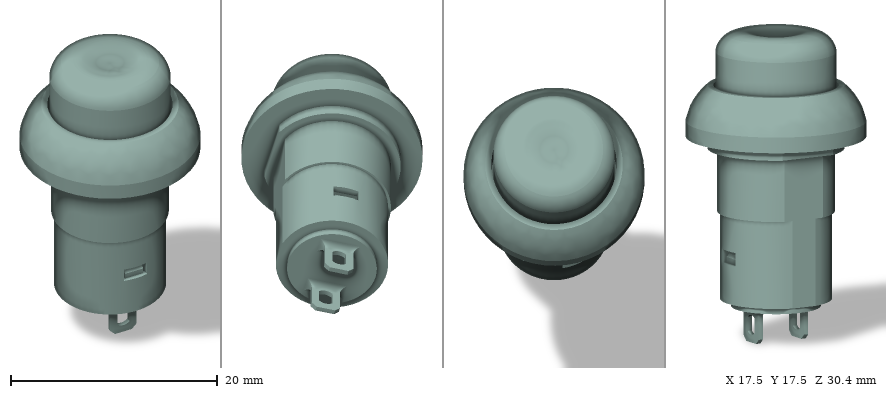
import cadquery as cq

TOTAL_HEIGHT = 30.35
BUTTON_CROWN_Z = 30.05
BUTTON_SHOULDER_Z = 28.4
BEZEL_TOP_Z = 25.1
BEZEL_RIM_TOP_Z = 21.6
BEZEL_BOTTOM_Z = 20.05
COLLAR_BOTTOM_Z = 18.9
UPPER_BODY_BOTTOM_Z = 12.7
LOWER_BODY_BOTTOM_Z = 4.07
BASE_BOTTOM_Z = 3.35

BUTTON_D = 11.75
BUTTON_CROWN_D = 9.5
TOP_RING_OUTER_D = 7.1
TOP_RING_INNER_D = 6.55
DISH_D = 5.45
BEZEL_D = 17.5
BEZEL_TOP_D = 13.3
BEZEL_BORE_D = 12.1
COLLAR_D = 13.3
UPPER_BODY_D = 11.4
LOWER_BODY_D = 10.87
BASE_D = 8.68

SHOULDER_MID_R = 5.5
SHOULDER_MID_Z = 29.38
BEZEL_MID_R = 8.05
BEZEL_MID_Z = 23.5
DISH_LIP_DROP = 0.05
DISH_DEPTH = 0.42

COLLAR_FLAT_Y = 6.0
BODY_FLAT_Y = 5.28

WINDOW_WIDTH = 2.52
WINDOW_TOP_Z = 9.25
WINDOW_BOTTOM_Z = 7.92
WINDOW_FLOOR_X = 4.67
CATCH_WIDTH = 1.97
CATCH_TOP_Z = 8.8
CATCH_RAMP_END_Z = 8.47
CATCH_FACE_X = 4.98

TERMINAL_X = 2.55
TERMINAL_THICKNESS = 0.5
TERMINAL_WIDTH = 2.82
TERMINAL_TIP_CHAMFER = 0.5
ROOT_FILLET = 0.55
EYE_D = 1.95
EYE_WIDTH = 1.35
EYE_Z = 1.73


def disc(diameter, bottom_z, top_z):
    height = top_z - bottom_z
    return cq.Workplane("XY").workplane(offset=bottom_z).circle(diameter / 2).extrude(height)


def centered_box(x_range, y_width, z_range):
    """Box spanning the X and Z ranges, centered on Y = 0."""
    return (
        cq.Workplane("XY")
        .box(x_range[1] - x_range[0], y_width, z_range[1] - z_range[0], centered=(False, True, False))
        .translate((x_range[0], 0, z_range[0]))
    )


def make_button():
    """Domed push button with a shallow spherical finger dish."""
    lip_z = TOTAL_HEIGHT - DISH_LIP_DROP
    profile = (
        cq.Workplane("XZ")
        .moveTo(0, BEZEL_BOTTOM_Z)
        .lineTo(BUTTON_D / 2, BEZEL_BOTTOM_Z)
        .lineTo(BUTTON_D / 2, BUTTON_SHOULDER_Z)
        .threePointArc((SHOULDER_MID_R, SHOULDER_MID_Z), (BUTTON_CROWN_D / 2, BUTTON_CROWN_Z))
    )
    crown_drop = TOTAL_HEIGHT - BUTTON_CROWN_Z
    crown_run = (BUTTON_CROWN_D - TOP_RING_OUTER_D) / 2
    crown_radius = (crown_run**2 + crown_drop**2) / (2 * crown_drop)
    lip_run = (TOP_RING_INNER_D - DISH_D) / 2
    lip_radius = (lip_run**2 + DISH_LIP_DROP**2) / (2 * DISH_LIP_DROP)
    dish_drop = DISH_DEPTH - DISH_LIP_DROP
    dish_radius = ((DISH_D / 2) ** 2 + dish_drop**2) / (2 * dish_drop)
    return (
        profile.radiusArc((TOP_RING_OUTER_D / 2, TOTAL_HEIGHT), -crown_radius)
        .lineTo(TOP_RING_INNER_D / 2, TOTAL_HEIGHT)
        .radiusArc((DISH_D / 2, lip_z), -lip_radius)
        .radiusArc((0, TOTAL_HEIGHT - DISH_DEPTH), dish_radius)
        .close()
        .revolve(360, (0, 0), (0, 1))
    )


def make_bezel():
    """Bulged bezel whose bore leaves a narrow gap around the button."""
    blank = (
        cq.Workplane("XZ")
        .moveTo(0, BEZEL_BOTTOM_Z)
        .lineTo(BEZEL_D / 2, BEZEL_BOTTOM_Z)
        .lineTo(BEZEL_D / 2, BEZEL_RIM_TOP_Z)
        .threePointArc((BEZEL_MID_R, BEZEL_MID_Z), (BEZEL_TOP_D / 2, BEZEL_TOP_Z))
        .lineTo(0, BEZEL_TOP_Z)
        .close()
        .revolve(360, (0, 0), (0, 1))
    )
    return blank.cut(disc(BEZEL_BORE_D, BEZEL_RIM_TOP_Z, BEZEL_TOP_Z))


def flatten(body, flat_y):
    """Remove everything beyond Y = flat_y."""
    bounds = body.val().BoundingBox()
    waste = (
        cq.Workplane("XY")
        .box(bounds.xlen, bounds.ymax, bounds.zlen, centered=(True, False, False))
        .translate((0, flat_y, bounds.zmin))
    )
    return body.cut(waste)


def make_body():
    """Stepped barrel with a flat along its +Y side."""
    collar = flatten(disc(COLLAR_D, COLLAR_BOTTOM_Z, BEZEL_BOTTOM_Z), COLLAR_FLAT_Y)
    upper = disc(UPPER_BODY_D, UPPER_BODY_BOTTOM_Z, COLLAR_BOTTOM_Z)
    lower = disc(LOWER_BODY_D, LOWER_BODY_BOTTOM_Z, UPPER_BODY_BOTTOM_Z)
    barrel = flatten(upper.union(lower), BODY_FLAT_Y)
    return collar.union(barrel)


def make_window():
    """Pocket on the +X side, less the ramped catch that stands in it."""
    pocket = centered_box(
        (WINDOW_FLOOR_X, LOWER_BODY_D / 2), WINDOW_WIDTH, (WINDOW_BOTTOM_Z, WINDOW_TOP_Z)
    )
    catch = (
        cq.Workplane("XZ")
        .moveTo(WINDOW_FLOOR_X, WINDOW_BOTTOM_Z)
        .lineTo(CATCH_FACE_X, WINDOW_BOTTOM_Z)
        .lineTo(CATCH_FACE_X, CATCH_RAMP_END_Z)
        .lineTo(WINDOW_FLOOR_X, CATCH_TOP_Z)
        .close()
        .extrude(CATCH_WIDTH / 2, both=True)
    )
    return pocket.cut(catch)


def make_blade():
    """Solder tag with a chamfered tip, centered on X = 0."""
    x_range = (-TERMINAL_THICKNESS / 2, TERMINAL_THICKNESS / 2)
    blade = centered_box(x_range, TERMINAL_WIDTH, (0, BASE_BOTTOM_Z))
    return blade.edges("|X and <Z").chamfer(TERMINAL_TIP_CHAMFER)


def make_eye():
    """Flat-sided wire hole through a tag, centered on X = 0."""
    x_range = (-TERMINAL_THICKNESS, TERMINAL_THICKNESS)
    return (
        cq.Workplane("YZ")
        .center(0, EYE_Z)
        .circle(EYE_D / 2)
        .extrude(TERMINAL_THICKNESS, both=True)
        .intersect(centered_box(x_range, EYE_WIDTH, (0, BASE_BOTTOM_Z)))
    )


def make_base():
    """Base disc with two solder tags, each filleted all around its root."""
    base = disc(BASE_D, BASE_BOTTOM_Z, LOWER_BODY_BOTTOM_Z)
    offsets = [(side * TERMINAL_X, 0, 0) for side in (-1, 1)]
    for offset in offsets:
        base = base.union(make_blade().translate(offset))
    base = base.faces("|Z").faces("<Z[1]").edges("%LINE").fillet(ROOT_FILLET)
    for offset in offsets:
        base = base.cut(make_eye().translate(offset))
    return base


result = make_body().union(make_base()).union(make_bezel()).union(make_button())

for turn in (0, 180):
    result = result.cut(make_window().rotate((0, 0, 0), (0, 0, 1), turn))